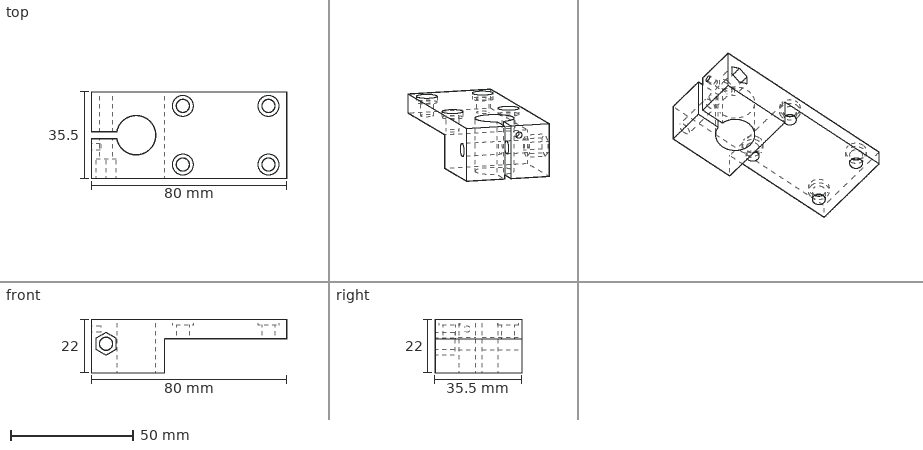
import cadquery as cq
import math

length = 80.0
width = 35.5
height = 22.0
plate_thickness = 8.0
clamp_length = 30.0

bore_diameter = 16.0
bore_x = 18.3
slit_width = 2.7

bolt_diameter = 5.3
bolt_x = 6.0
bolt_z = 12.0
nut_across_flats = 8.1
nut_depth = 8.0

mount_diameter = 5.3
counterbore_diameter = 8.6
counterbore_depth = 2.4
mount_first_x = 37.4
mount_spacing_x = 35.0
mount_spacing_y = 24.0

pin_diameter = 2.6
pin_y = -4.7
pin_below_top = 4.0
pin_depth = 4.0


def make_body():
    """Plate with the deeper clamp block under one end."""
    plate = cq.Workplane("XY").box(length, width, plate_thickness, centered=(False, True, False))
    plate = plate.translate((0, 0, height - plate_thickness))
    block = cq.Workplane("XY").box(clamp_length, width, height, centered=(False, True, False))
    return plate.union(block)


def cut_clamp_bore(body):
    """Vertical bore and the slit that opens it to the end face."""
    bore = cq.Workplane("XY").center(bore_x, 0).circle(bore_diameter / 2).extrude(height)
    slit = cq.Workplane("XY").box(bore_x, slit_width, height, centered=(False, True, False))
    return body.cut(bore).cut(slit)


def cut_clamp_bolt(body):
    """Through bolt hole and a nut pocket with its corners pointing up and down."""
    front_face = cq.Workplane("XZ", origin=(bolt_x, -width / 2, bolt_z))
    bolt = front_face.circle(bolt_diameter / 2).extrude(-width)
    nut_across_corners = nut_across_flats / math.cos(math.radians(30))
    nut = front_face.transformed(rotate=(0, 0, 90)).polygon(6, nut_across_corners).extrude(-nut_depth)
    return body.cut(bolt).cut(nut)


def cut_mounting_holes(body):
    """Two by two pattern of holes counterbored from the top."""
    pattern_center_x = mount_first_x + mount_spacing_x / 2
    return (
        body.faces(">Z")
        .workplane(origin=(pattern_center_x, 0, height))
        .rarray(mount_spacing_x, mount_spacing_y, 2, 2)
        .cboreHole(mount_diameter, counterbore_diameter, counterbore_depth)
    )


def cut_pin_hole(body):
    """Blind hole running along X from the clamp end face."""
    pin = (
        cq.Workplane("YZ", origin=(0, pin_y, height - pin_below_top))
        .circle(pin_diameter / 2)
        .extrude(pin_depth)
    )
    return body.cut(pin)


result = make_body()
result = cut_clamp_bore(result)
result = cut_clamp_bolt(result)
result = cut_mounting_holes(result)
result = cut_pin_hole(result)